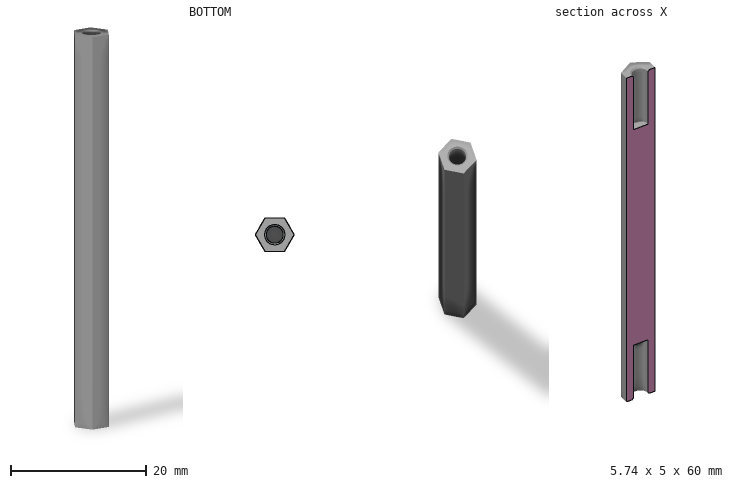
import math

import cadquery as cq

LENGTH = 60.0
SIDES = 6
ACROSS_FLATS = 5.0
CORNER_RADIUS = 0.1
THREAD_DIAMETER = 3.0
TAP_DRILL_DIAMETER = 2.5
HOLE_DEPTH = 10.0

ACROSS_CORNERS = ACROSS_FLATS / math.cos(math.pi / SIDES)
COUNTERSINK = (THREAD_DIAMETER - TAP_DRILL_DIAMETER) / 2


def hex_bar():
    """Hexagonal bar standing on Z = 0, flats facing +Y and -Y, long edges slightly rounded."""
    bar = cq.Workplane("XY").polygon(SIDES, ACROSS_CORNERS).extrude(LENGTH)
    return bar.edges("|Z").fillet(CORNER_RADIUS)


def drill_end(body, end_face):
    """Blind, flat-bottomed tapping hole with a countersunk mouth in one end face."""
    drilled = body.faces(end_face).workplane(origin=(0, 0, 0)).hole(TAP_DRILL_DIAMETER, HOLE_DEPTH)
    largest_circle = cq.selectors.RadiusNthSelector(-1)
    mouth = drilled.faces(end_face).edges("%CIRCLE").edges(largest_circle)
    return mouth.chamfer(COUNTERSINK)


result = hex_bar()
for end in (">Z", "<Z"):
    result = drill_end(result, end)